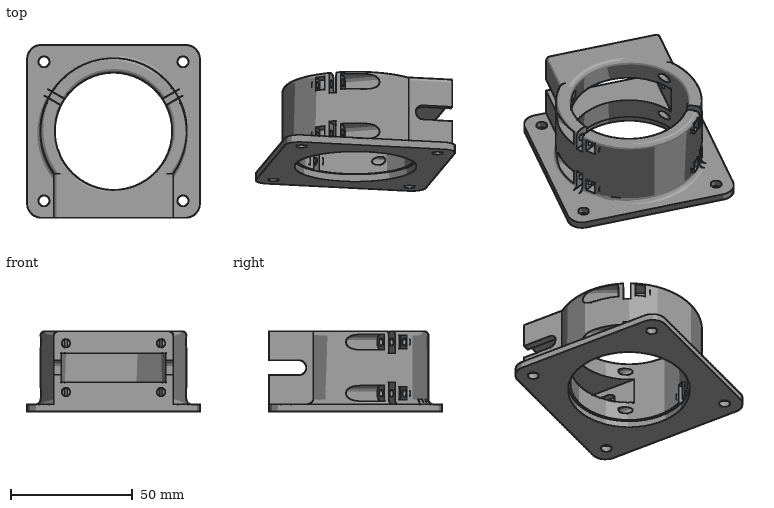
import cadquery as cq
import math

PLATE_SIDE = 71.0
PLATE_THICKNESS = 3.0
PLATE_CORNER_RADIUS = 6.0
MOUNT_HOLE_OFFSET = 28.5
MOUNT_HOLE_DIAMETER = 4.4

TOTAL_HEIGHT = 33.0
RING_HEIGHT = TOTAL_HEIGHT - PLATE_THICKNESS
BORE_RADIUS = 24.0
RECESS_RADIUS = 25.0
RING_RADIUS = 30.0
RING_MID_RADIUS = (BORE_RADIUS + RING_RADIUS) / 2
EDGE_RADIUS = 2.0
ARC_OFFSET = EDGE_RADIUS * math.sqrt(0.5)
MID_HEIGHT = PLATE_THICKNESS + RING_HEIGHT / 2

BLOCK_WIDTH = 49.0
BLOCK_WALL = 3.0
FRONT_Y = -PLATE_SIDE / 2
WINDOW_HEIGHT = 12.0
WINDOW_WIDTH = BLOCK_WIDTH - 2 * BLOCK_WALL
SIDE_SLOT_HEIGHT = 6.0
SIDE_SLOT_CENTER_Y = -23.25

FRONT_HOLE_DIAMETER = 3.4
FRONT_HOLE_X = 19.5
FRONT_HOLE_LEVEL_OFFSET = 10.0

SPLIT_ANGLE = 30.0
SPLIT_WIDTH = 3.0
SPLIT_HEIGHT = (RING_HEIGHT - WINDOW_HEIGHT) / 2
SPLIT_LEVEL_OFFSET = (WINDOW_HEIGHT + SPLIT_HEIGHT) / 2
SPLIT_END_CLEARANCE = 2.0
SPLIT_LENGTH = RING_RADIUS + EDGE_RADIUS - BORE_RADIUS + 2 * SPLIT_END_CLEARANCE

CLAMP_WALL = 2.0
CLAMP_FACE = SPLIT_WIDTH / 2 + CLAMP_WALL
CLAMP_HOLE_DIAMETER = 3.0
SCREW_HEAD_DIAMETER = 6.4
NUT_WIDTH = 5.5
NUT_THICKNESS = 4.0
CLAMP_HOLE_REACH = CLAMP_FACE + NUT_THICKNESS + CLAMP_WALL
HEAD_POCKET_LENGTH = RING_RADIUS


def levels_about_middle(offset):
    """Heights below and above the middle of the ring by the given offset."""
    return MID_HEIGHT - offset, MID_HEIGHT + offset


def make_plate():
    """Square base plate with rounded corners and four mounting holes."""
    corners = [(x, y) for x in (-MOUNT_HOLE_OFFSET, MOUNT_HOLE_OFFSET)
               for y in (-MOUNT_HOLE_OFFSET, MOUNT_HOLE_OFFSET)]
    return (
        cq.Workplane("XY")
        .rect(PLATE_SIDE, PLATE_SIDE)
        .extrude(PLATE_THICKNESS)
        .edges("|Z")
        .fillet(PLATE_CORNER_RADIUS)
        .faces(">Z")
        .workplane()
        .pushPoints(corners)
        .hole(MOUNT_HOLE_DIAMETER)
    )


def make_ring():
    """Solid of revolution: foot fillet, straight wall and rounded top edge."""
    foot_radius = RING_RADIUS + EDGE_RADIUS
    foot_top = PLATE_THICKNESS + EDGE_RADIUS
    shoulder = TOTAL_HEIGHT - EDGE_RADIUS
    top_radius = RING_RADIUS - EDGE_RADIUS
    return (
        cq.Workplane("XZ")
        .lineTo(foot_radius, 0)
        .lineTo(foot_radius, PLATE_THICKNESS)
        .threePointArc((foot_radius - ARC_OFFSET, foot_top - ARC_OFFSET), (RING_RADIUS, foot_top))
        .lineTo(RING_RADIUS, shoulder)
        .threePointArc((top_radius + ARC_OFFSET, shoulder + ARC_OFFSET), (top_radius, TOTAL_HEIGHT))
        .lineTo(0, TOTAL_HEIGHT)
        .close()
        .revolve(360, (0, 0, 0), (0, 1, 0))
    )


def make_block():
    """Front block, reaching back to where its sides meet the ring."""
    back_y = -math.sqrt(RING_RADIUS ** 2 - (BLOCK_WIDTH / 2) ** 2)
    depth = back_y - FRONT_Y
    return (
        cq.Workplane("XY")
        .box(BLOCK_WIDTH, depth, TOTAL_HEIGHT, centered=(True, False, False))
        .translate((0, FRONT_Y, 0))
        .edges("|Y and >Z")
        .fillet(EDGE_RADIUS)
    )


def make_bore():
    """Through bore, flared by a rounded edge at the top and recessed through the plate."""
    shoulder = TOTAL_HEIGHT - EDGE_RADIUS
    flare_radius = BORE_RADIUS + EDGE_RADIUS
    return (
        cq.Workplane("XZ")
        .lineTo(RECESS_RADIUS, 0)
        .lineTo(RECESS_RADIUS, PLATE_THICKNESS)
        .lineTo(BORE_RADIUS, PLATE_THICKNESS)
        .lineTo(BORE_RADIUS, shoulder)
        .threePointArc((flare_radius - ARC_OFFSET, shoulder + ARC_OFFSET), (flare_radius, TOTAL_HEIGHT))
        .lineTo(0, TOTAL_HEIGHT)
        .close()
        .revolve(360, (0, 0, 0), (0, 1, 0))
    )


def make_window():
    """Front window into the bore, with a round-ended slot through both side walls."""
    window = (
        cq.Workplane("XY")
        .box(WINDOW_WIDTH, -FRONT_Y, WINDOW_HEIGHT, centered=(True, False, True))
        .translate((0, FRONT_Y, MID_HEIGHT))
    )
    slot_length = SIDE_SLOT_CENTER_Y - FRONT_Y
    slot = (
        cq.Workplane("XY")
        .box(PLATE_SIDE, slot_length, SIDE_SLOT_HEIGHT, centered=(True, False, True))
        .translate((0, FRONT_Y, MID_HEIGHT))
    )
    slot_end = (
        cq.Workplane("YZ")
        .center(SIDE_SLOT_CENTER_Y, MID_HEIGHT)
        .circle(SIDE_SLOT_HEIGHT / 2)
        .extrude(PLATE_SIDE / 2, both=True)
    )
    return window.union(slot).union(slot_end)


def make_front_screw_holes():
    """Screw holes running from the front face back into the bore."""
    centers = [(x, z) for x in (-FRONT_HOLE_X, FRONT_HOLE_X)
               for z in levels_about_middle(FRONT_HOLE_LEVEL_OFFSET)]
    return (
        cq.Workplane("XZ")
        .pushPoints(centers)
        .circle(FRONT_HOLE_DIAMETER / 2)
        .extrude(-FRONT_Y)
    )


def make_clamp_cut(level):
    """Split, screw hole, open-sided head pocket and nut trap, built on +X with +Y tangential."""
    split_center = (BORE_RADIUS + RING_RADIUS + EDGE_RADIUS) / 2
    split = (
        cq.Workplane("XY")
        .box(SPLIT_LENGTH, SPLIT_WIDTH, SPLIT_HEIGHT)
        .translate((split_center, 0, level))
    )
    screw_axis = cq.Workplane("XZ").center(RING_MID_RADIUS, level)
    hole = screw_axis.circle(CLAMP_HOLE_DIAMETER / 2).extrude(CLAMP_HOLE_REACH, both=True)
    head_bore = (
        screw_axis.workplane(offset=CLAMP_FACE)
        .circle(SCREW_HEAD_DIAMETER / 2)
        .extrude(HEAD_POCKET_LENGTH)
    )
    head_slot = (
        cq.Workplane("XY")
        .box(RING_RADIUS, HEAD_POCKET_LENGTH, SCREW_HEAD_DIAMETER, centered=(False, False, True))
        .translate((RING_MID_RADIUS, -CLAMP_FACE - HEAD_POCKET_LENGTH, level))
    )
    nut_trap = (
        cq.Workplane("XY")
        .box(RING_RADIUS - BORE_RADIUS, NUT_THICKNESS, NUT_WIDTH, centered=(False, False, True))
        .translate((BORE_RADIUS, CLAMP_FACE, level))
    )
    return split.union(hole).union(head_bore).union(head_slot).union(nut_trap)


body = make_plate().union(make_ring()).union(make_block())
result = body.cut(make_bore()).cut(make_window()).cut(make_front_screw_holes())
for clamp_level in levels_about_middle(SPLIT_LEVEL_OFFSET):
    clamp_cut = make_clamp_cut(clamp_level).rotate((0, 0, 0), (0, 0, 1), SPLIT_ANGLE)
    result = result.cut(clamp_cut).cut(clamp_cut.mirror("YZ"))